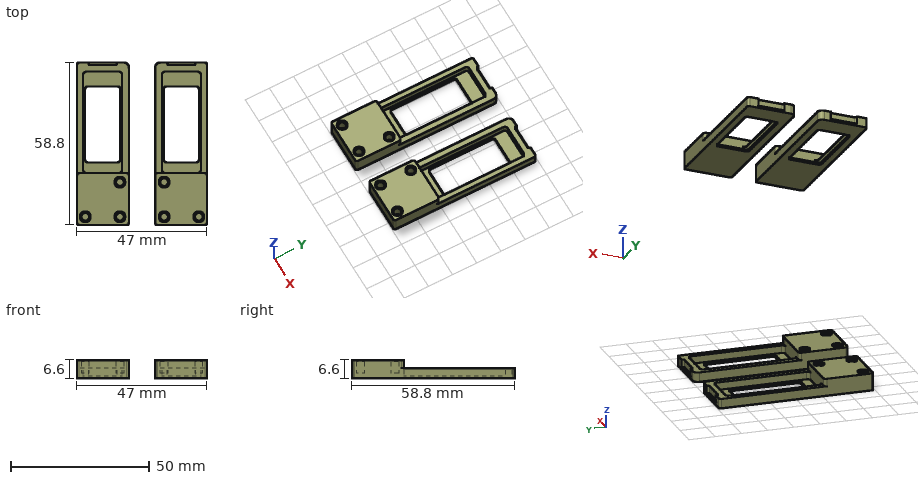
import cadquery as cq

ARM_WIDTH = 18.8
ARM_LENGTH = 58.75
PAIR_GAP = 9.4
PLATE_THICKNESS = 3.7
BLOCK_HEIGHT = 6.6
BLOCK_LENGTH = 18.8
BLOCK_START = ARM_LENGTH - BLOCK_LENGTH

CORNER_RADIUS = 0.8
BLOCK_BACK_RADIUS = 1.0
INNER_CORNER_RADIUS = 1.9

RECESS_WIDTH = 14.1
RECESS_OUTER_WALL = 2.25
RECESS_END_WALL = 3.35
RECESS_FLOOR = 0.8
RECESS_RADIUS = 1.1
RECESS_LENGTH = BLOCK_START - RECESS_END_WALL
WINDOW_WIDTH = 12.7
WINDOW_LENGTH = 27.4
WINDOW_END_WALL = 8.7
WINDOW_RADIUS = 1.0

NOTCH_WIDTH = 10.2
NOTCH_OUTER_WALL = 4.2
NOTCH_DEPTH = 0.95
NOTCH_RADIUS = 0.6

HOLE_DIAMETER = 2.9
COUNTERSINK_DIAMETER = 3.9
HOLE_DEPTH = 4.7
HOLE_SPACING = 12.5
HOLE_MARGIN = 3.0


def box_at(x, y, z, width, length, height):
    """Box with its lowest corner at (x, y, z)."""
    return cq.Workplane("XY").box(width, length, height, centered=False).translate((x, y, z))


def arm_body():
    """Thin plate with a thick block at the front; the outer side is x = 0."""
    plate = box_at(0, 0, 0, ARM_WIDTH, ARM_LENGTH, PLATE_THICKNESS)
    plate = plate.edges("|Z").edges("<Y or (<X and >Y)").fillet(CORNER_RADIUS)
    plate = plate.edges("|Z").edges(">X and >Y").fillet(INNER_CORNER_RADIUS)
    block = box_at(0, 0, 0, ARM_WIDTH, BLOCK_LENGTH, BLOCK_HEIGHT)
    block = block.edges("|Z and <Y").fillet(CORNER_RADIUS)
    block = block.edges("|Z and >Y").fillet(BLOCK_BACK_RADIUS)
    return plate.union(block)


def recess():
    """Rounded pocket that runs from the end wall up to the block."""
    depth = PLATE_THICKNESS - RECESS_FLOOR
    pocket = box_at(RECESS_OUTER_WALL, BLOCK_LENGTH, RECESS_FLOOR, RECESS_WIDTH, RECESS_LENGTH, depth)
    return pocket.edges("|Z").fillet(RECESS_RADIUS)


def window():
    """Rounded opening through the recess floor, centred across the recess."""
    x = RECESS_OUTER_WALL + (RECESS_WIDTH - WINDOW_WIDTH) / 2
    y = ARM_LENGTH - WINDOW_END_WALL - WINDOW_LENGTH
    opening = box_at(x, y, 0, WINDOW_WIDTH, WINDOW_LENGTH, PLATE_THICKNESS)
    return opening.edges("|Z").fillet(WINDOW_RADIUS)


def end_notch():
    """Shallow notch in the far end, as deep in Z as the recess."""
    depth = PLATE_THICKNESS - RECESS_FLOOR
    y = ARM_LENGTH - NOTCH_DEPTH
    notch = box_at(NOTCH_OUTER_WALL, y, RECESS_FLOOR, NOTCH_WIDTH, NOTCH_DEPTH, depth)
    return notch.edges("|Z and <Y").fillet(NOTCH_RADIUS)


def drill_holes(body):
    """Three countersunk holes; the outer back corner of the block has none."""
    outer_x = HOLE_MARGIN
    inner_x = outer_x + HOLE_SPACING
    front_y = HOLE_MARGIN
    back_y = front_y + HOLE_SPACING
    centres = [(outer_x, front_y), (inner_x, front_y), (inner_x, back_y)]
    top = cq.Workplane("XY", origin=(0, 0, BLOCK_HEIGHT))
    for centre in centres:
        shaft = top.center(*centre).circle(HOLE_DIAMETER / 2).extrude(-HOLE_DEPTH)
        countersink = cq.Workplane(
            cq.Solid.makeCone(
                COUNTERSINK_DIAMETER / 2,
                HOLE_DIAMETER / 2,
                (COUNTERSINK_DIAMETER - HOLE_DIAMETER) / 2,
                pnt=cq.Vector(*centre, BLOCK_HEIGHT),
                dir=cq.Vector(0, 0, -1),
            )
        )
        body = body.cut(shaft).cut(countersink)
    return body


def make_arm():
    """Left arm, with its inner side facing the middle plane x = 0 of the pair."""
    arm = arm_body().cut(recess()).cut(window()).cut(end_notch())
    return drill_holes(arm).translate((-ARM_WIDTH - PAIR_GAP / 2, 0, 0))


left_arm = make_arm()
arms = []
for mirrored in (False, True):
    arm = left_arm.mirror("YZ") if mirrored else left_arm
    arms.append(arm.val())

result = cq.Compound.makeCompound(arms)